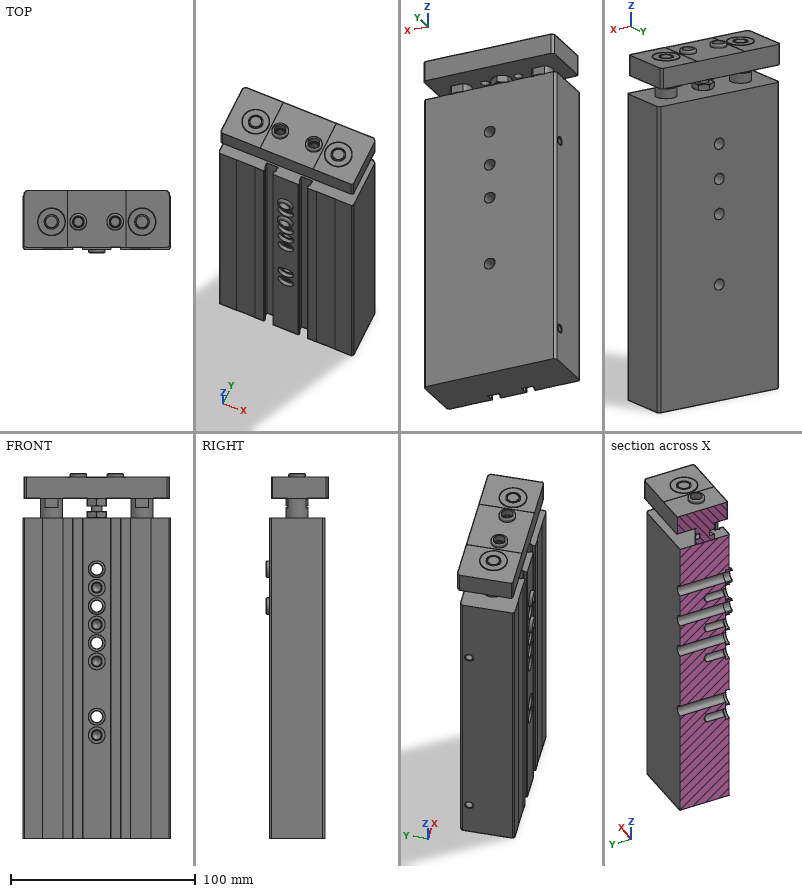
import cadquery as cq
import math


housing_width = 80.0
housing_depth = 30.3
housing_height = 173.9
back_chamfer = 1.4
front_chamfer_x = 0.8
front_chamfer_y = 1.2

slot_x = 10.3
slot_neck_width = 5.0
slot_depth = 5.1
slot_neck_depth = 1.8
slot_undercut = 0.8
slot_lip_chamfer = 0.4

strip_inner_x = 18.2
strip_outer_x = 29.3
strip_depth = 0.1

pair_spacing = 20.0
hole_pitch = pair_spacing / 2
top_hole_z = 146.0
through_steps = (0, 2, 4, 8)
threaded_steps = (1, 3, 5, 9)
ring_steps = (0, 2)
through_diameter = 6.3
thread_core = 5.0
thread_mouth = 6.0
thread_depth = 11.9
drill_point_angle = 118

port_y = 25.1
port_heights = (20.2, 134.0)
port_core = 4.2
port_mouth = 5.0
port_depth = 8.0

ring_diameter = 9.0
ring_bore = 6.3
ring_length = 4.0
ring_projection = 1.8
ring_seat = ring_length - ring_projection
ring_rounding = 1.0

total_height = 197.8
plate_width = 78.7
plate_front_y = 1.2
plate_back_y = 32.0
plate_top = total_height - ring_projection
plate_bottom = 184.3
plate_height = plate_top - plate_bottom
plate_ring_x = pair_spacing / 2
plate_chamfer_x = 1.2
plate_chamfer_y = 0.5
plate_back_chamfer = 1.4

panel_width = 31.5
panel_depth = 0.1

rod_x = 24.5
axis_y = 15.0
rod_diameter = 12.0
rod_engagement = rod_diameter
rod_bottom = housing_height - rod_engagement
rod_flats = 9.9
rod_flat_length = 5.0
stem_diameter = 8.0
stem_chamfer = 0.8
head_diameter = 15.0
head_thickness = 4.0
head_chamfer = 0.2

hex_across_flats = 10.5
hex_across_corners = hex_across_flats / math.cos(math.radians(30))
nut_height = 4.2
screw_diameter = 6.0
screw_head_height = 3.4
hex_chamfer_width = 0.8
hex_chamfer_height = 0.4


def cylinder(diameter, length, x, y, z):
    """Upright cylinder standing on the point (x, y, z)."""
    return cq.Workplane("XY", origin=(x, y, z)).circle(diameter / 2).extrude(length)


def drill(core, mouth, depth):
    """Threaded blind hole along +Z: chamfered mouth at Z = 0, core, conical tip."""
    radius = core / 2
    lead = (mouth - core) / 2
    tip = radius / math.tan(math.radians(drill_point_angle / 2))
    outline = [
        (0, 0), (mouth / 2, 0), (radius, lead), (radius, depth), (0, depth + tip),
    ]
    return cq.Workplane("XZ").polyline(outline).close().revolve(360, (0, 0), (0, 1))


def front_hole_z(step):
    return top_hole_z - step * hole_pitch


def front_cylinder(diameter, length, z):
    """Cylinder running from the housing front face into the housing."""
    return cq.Workplane("XZ", origin=(0, 0, z)).circle(diameter / 2).extrude(-length)


def housing_blank():
    side = housing_width / 2
    outline = [
        (-side + front_chamfer_x, 0),
        (side - front_chamfer_x, 0),
        (side, front_chamfer_y),
        (side, housing_depth - back_chamfer),
        (side - back_chamfer, housing_depth),
        (-side + back_chamfer, housing_depth),
        (-side, housing_depth - back_chamfer),
        (-side, front_chamfer_y),
    ]
    return cq.Workplane("XY").polyline(outline).close().extrude(housing_height)


def switch_slot(center_x):
    neck = slot_neck_width / 2
    mouth = neck + slot_lip_chamfer
    pocket = neck + slot_undercut
    half = [
        (mouth, 0),
        (neck, slot_lip_chamfer),
        (neck, slot_neck_depth),
        (pocket, slot_neck_depth + slot_undercut),
        (pocket, slot_depth),
    ]
    outline = half + [(-x, y) for x, y in reversed(half)]
    return cq.Workplane("XY", origin=(center_x, 0, 0)).polyline(outline).close().extrude(housing_height)


def front_strip(center_x):
    width = strip_outer_x - strip_inner_x
    return cq.Workplane("XY", origin=(center_x, 0, 0)).rect(width, 2 * strip_depth).extrude(housing_height)


def cut_front_profile(body):
    """Switch slots and shallow strips, mirrored about the middle."""
    strip_center = (strip_inner_x + strip_outer_x) / 2
    for side in (-1, 1):
        body = body.cut(switch_slot(side * slot_x))
        body = body.cut(front_strip(side * strip_center))
    return body


def cut_front_holes(body):
    """Row of ring seats, alternating between through holes and threaded holes."""
    for step in through_steps + threaded_steps:
        body = body.cut(front_cylinder(ring_diameter, ring_seat, front_hole_z(step)))
    for step in through_steps:
        body = body.cut(front_cylinder(through_diameter, housing_depth, front_hole_z(step)))
    threaded_hole = drill(thread_core, thread_mouth, thread_depth).rotate((0, 0, 0), (1, 0, 0), -90)
    for step in threaded_steps:
        body = body.cut(threaded_hole.translate((0, ring_seat, front_hole_z(step))))
    return body


def cut_side_ports(body):
    port = drill(port_core, port_mouth, port_depth).rotate((0, 0, 0), (0, 1, 0), 90)
    for height in port_heights:
        body = body.cut(port.translate((-housing_width / 2, port_y, height)))
    return body


def cut_rod_holes(body):
    for side in (-1, 1):
        body = body.cut(cylinder(rod_diameter, rod_engagement, side * rod_x, axis_y, rod_bottom))
    return body


def make_housing():
    return cut_rod_holes(cut_side_ports(cut_front_holes(cut_front_profile(housing_blank()))))


def plate_blank():
    side = plate_width / 2
    outline = [
        (-side + plate_chamfer_x, plate_front_y),
        (side - plate_chamfer_x, plate_front_y),
        (side, plate_front_y + plate_chamfer_y),
        (side, plate_back_y - plate_back_chamfer),
        (side - plate_back_chamfer, plate_back_y),
        (-side + plate_back_chamfer, plate_back_y),
        (-side, plate_back_y - plate_back_chamfer),
        (-side, plate_front_y + plate_chamfer_y),
    ]
    return cq.Workplane("XY", origin=(0, 0, plate_bottom)).polyline(outline).close().extrude(plate_height)


def top_panel():
    panel = cq.Workplane("XY", origin=(0, axis_y, plate_top - panel_depth))
    return panel.rect(panel_width, 2 * plate_back_y).extrude(panel_depth)


def hexagon(bottom_z, height):
    """Hexagon with a corner toward the front and both rims turned off."""
    blank = cq.Workplane("XY").polygon(6, hex_across_corners).extrude(height)
    blank = blank.rotate((0, 0, 0), (0, 0, 1), 30)
    turned = cq.Workplane("XY").circle(hex_across_corners / 2).extrude(height)
    turned = turned.faces("<Z or >Z").chamfer(hex_chamfer_height, hex_chamfer_width)
    return blank.intersect(turned).translate((0, axis_y, bottom_z))


def cut_ring_hole(plate, x):
    """Ring seat in the plate top with a threaded hole through its floor."""
    seat_z = plate_top - ring_seat
    lead = (thread_mouth - thread_core) / 2
    lead_in = cq.Solid.makeCone(thread_core / 2, thread_mouth / 2, lead)
    lead_in = lead_in.translate(cq.Vector(x, axis_y, seat_z - lead))
    plate = plate.cut(cylinder(ring_diameter, ring_seat, x, axis_y, seat_z))
    plate = plate.cut(cylinder(thread_core, plate_height, x, axis_y, plate_bottom))
    return plate.cut(lead_in)


def cut_rod_seat(plate, x):
    """Stepped hole for the stem and the sunk head of a rod."""
    plate = plate.cut(cylinder(stem_diameter, plate_height, x, axis_y, plate_bottom))
    return plate.cut(cylinder(head_diameter, head_thickness, x, axis_y, plate_top - head_thickness))


def add_stop_screw(plate):
    screw = cylinder(screw_diameter, plate_bottom - housing_height, 0, axis_y, housing_height)
    lock_nut = hexagon(plate_bottom - nut_height, nut_height)
    screw_head = hexagon(housing_height, screw_head_height)
    return plate.union(screw).union(lock_nut).union(screw_head)


def make_plate():
    plate = plate_blank().cut(top_panel())
    for side in (-1, 1):
        plate = cut_ring_hole(plate, side * plate_ring_x)
        plate = cut_rod_seat(plate, side * rod_x)
    return add_stop_screw(plate)


def make_rod(x):
    """Shaft with two wrench flats, then a stem ending in a head level with the plate top."""
    shaft = cylinder(rod_diameter, plate_bottom - rod_bottom, x, axis_y, rod_bottom)
    for side in (-1, 1):
        flat_y = axis_y + side * (rod_flats + rod_diameter) / 2
        flat_z = plate_bottom - rod_flat_length / 2
        waste = cq.Workplane("XY", origin=(x, flat_y, flat_z))
        shaft = shaft.cut(waste.box(rod_diameter, rod_diameter, rod_flat_length))
    stem = cylinder(stem_diameter, plate_height, x, axis_y, plate_bottom)
    head = cylinder(head_diameter, head_thickness, x, axis_y, plate_top - head_thickness)
    head = head.faces(">Z").chamfer(head_chamfer)
    stem_end = cq.Solid.makeCone(stem_diameter / 2, stem_diameter / 2 - stem_chamfer, stem_chamfer)
    stem_end = stem_end.translate(cq.Vector(x, axis_y, plate_top - stem_chamfer))
    groove = cylinder(stem_diameter, stem_chamfer, x, axis_y, plate_top - stem_chamfer).cut(stem_end)
    return shaft.union(stem).union(head).cut(groove)


def make_ring():
    """Ring around Z with its seated end on Z = 0 and its outer rim rounded at the top."""
    blank = cq.Workplane("XY").circle(ring_diameter / 2).extrude(ring_length)
    return blank.faces(">Z").edges().fillet(ring_rounding).faces(">Z").workplane().hole(ring_bore)


def plate_ring(x):
    return make_ring().translate((x, axis_y, plate_top - ring_seat))


def housing_ring(step):
    turned = make_ring().rotate((0, 0, 0), (1, 0, 0), 90)
    return turned.translate((0, ring_seat, front_hole_z(step)))


housing = make_housing()
plate = make_plate()
rods = [make_rod(side * rod_x).val() for side in (-1, 1)]
plate_rings = [plate_ring(side * plate_ring_x).val() for side in (-1, 1)]
housing_rings = [housing_ring(step).val() for step in ring_steps]

result = cq.Compound.makeCompound([housing.val(), plate.val(), *rods, *plate_rings, *housing_rings])